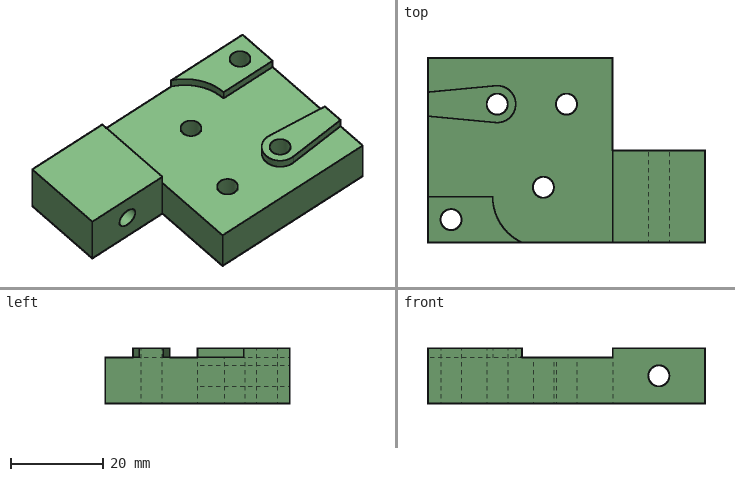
import cadquery as cq
import math

plate_side = 40.0
floor_height = 10.0
raised_height = 2.0
full_height = floor_height + raised_height

block_side = 20.0

hole_diameter = 4.5
tab_hole = (15.0, 30.0)
upper_hole = (30.0, 30.0)
middle_hole = (25.0, 12.0)
corner_hole = (5.0, 5.0)
cross_hole_x = plate_side + block_side / 2
cross_hole_z = full_height / 2

tab_radius = 4.0
tab_edge_half_width = 2.6

pad_depth = 10.0
pad_arc_radius = 11.0
pad_arc_center_x = 25.0


def make_body():
    plate = cq.Workplane("XY").box(plate_side, plate_side, floor_height, centered=False)
    block = (
        cq.Workplane("XY")
        .box(block_side, block_side, full_height, centered=False)
        .translate((plate_side, 0, 0))
    )
    return plate.union(block)


def make_tab():
    """Tapered tab whose straight sides run tangent into the round end."""
    center_x, center_y = tab_hole
    edge_distance = math.hypot(center_x, tab_edge_half_width)
    taper = math.asin(tab_radius / edge_distance) - math.atan2(tab_edge_half_width, center_x)
    tangent_x = center_x - tab_radius * math.sin(taper)
    tangent_offset = tab_radius * math.cos(taper)
    return (
        cq.Workplane("XY", origin=(0, 0, floor_height))
        .moveTo(0, center_y - tab_edge_half_width)
        .lineTo(tangent_x, center_y - tangent_offset)
        .threePointArc((center_x + tab_radius, center_y), (tangent_x, center_y + tangent_offset))
        .lineTo(0, center_y + tab_edge_half_width)
        .close()
        .extrude(raised_height)
    )


def make_corner_pad():
    """Rectangular pad with its inner side cut away by a cylinder."""
    pad = (
        cq.Workplane("XY", origin=(0, 0, floor_height))
        .rect(pad_arc_center_x, pad_depth, centered=False)
        .extrude(raised_height)
    )
    relief = (
        cq.Workplane("XY", origin=(0, 0, floor_height))
        .center(pad_arc_center_x, pad_depth)
        .circle(pad_arc_radius)
        .extrude(raised_height)
    )
    return pad.cut(relief)


def drill_holes(body):
    vertical_holes = (
        cq.Workplane("XY")
        .pushPoints([tab_hole, upper_hole, middle_hole, corner_hole])
        .circle(hole_diameter / 2)
        .extrude(full_height)
    )
    cross_hole = (
        cq.Workplane("XZ")
        .center(cross_hole_x, cross_hole_z)
        .circle(hole_diameter / 2)
        .extrude(-block_side)
    )
    return body.cut(vertical_holes).cut(cross_hole)


result = drill_holes(make_body().union(make_tab()).union(make_corner_pad()))